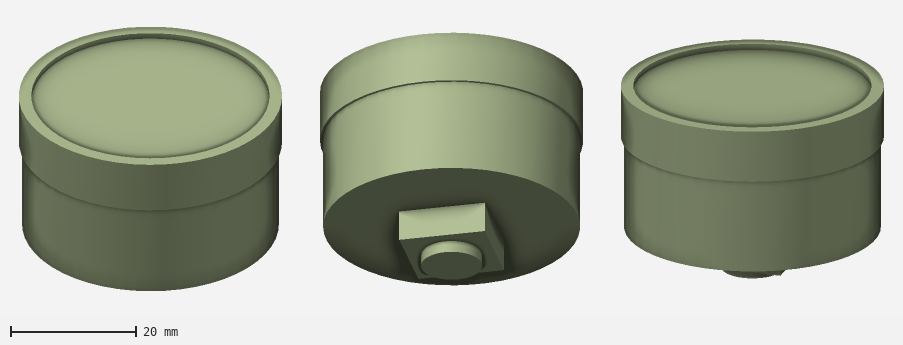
import cadquery as cq

cap_diameter = 42.0
cap_height = 8.53
recess_diameter = 38.0
recess_depth = 1.0
body_diameter = 41.0
body_height = 15.45
block_side = 14.0
block_height = 5.1
pin_diameter = 9.75
pin_height = 1.95

block_base = pin_height
body_base = block_base + block_height
cap_base = body_base + body_height
cap_top = cap_base + cap_height


def cylinder(diameter, height, base):
    """Upright cylinder on the Z axis, starting at the base level."""
    return cq.Workplane("XY").workplane(offset=base).circle(diameter / 2).extrude(height)


pin = cylinder(pin_diameter, pin_height, 0)
block = cq.Workplane("XY").workplane(offset=block_base).rect(block_side, block_side).extrude(block_height)
body = cylinder(body_diameter, body_height, body_base)
cap = cylinder(cap_diameter, cap_height, cap_base)

recess = cylinder(recess_diameter, recess_depth, cap_top - recess_depth)

result = pin.union(block).union(body).union(cap).cut(recess)